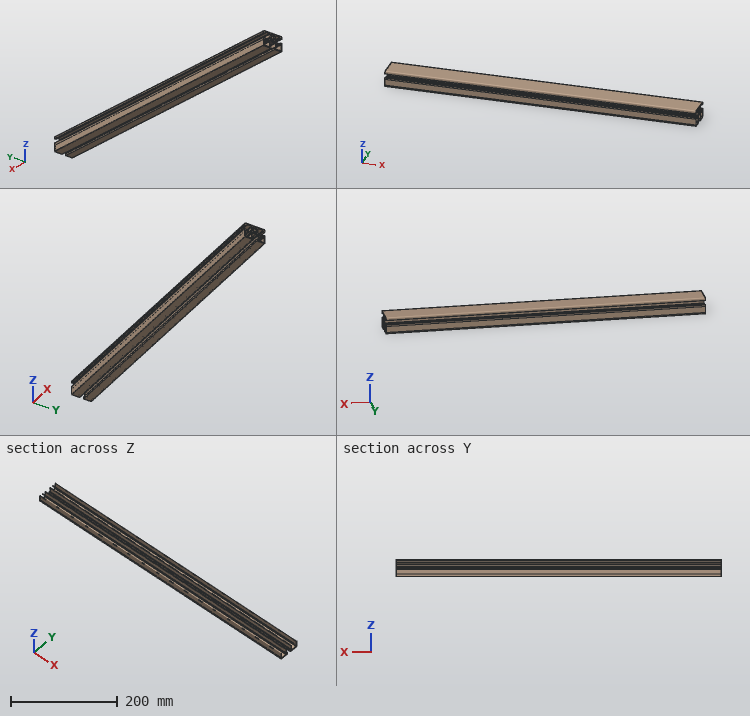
import cadquery as cq

LENGTH = 609.6
WIDTH = 45.0
HEIGHT = 32.0
HALF_WIDTH = WIDTH / 2
CORNER_RADIUS = 2.5

SLOT_CENTRE_Z = 22.5
SLOT_OPENING = 8.6
SLOT_CORNER_CHAMFER = 1.2
TOP_PLATE = 2.5
SHELF_TOP_Z = 15.8
CORE_HALF_WIDTH = 7.0
SIDE_LIP_DEPTH = 4.6
LIP_CHAMFER = 0.7
BOTTOM_SLOT_HALF_WIDTH = 6.5
BOTTOM_SLOT_TOP_Z = 14.8
BOTTOM_LIP = 4.5

CHAMBER_INNER_Y = 8.0
CHAMBER_OUTER_Y = 20.5
CHAMBER_FLOOR_Z = 2.2
CHAMBER_TOP_Z = 15
CHAMBER_CHAMFER = 0.5
RIB_WIDTH = 1.5
RIB_HEIGHT = 1.2

BORE_DIAMETER = 6.8
SLIT_LENGTH = 11.0
SLIT_HEIGHT = 2.0
BORE_WALL = 0.8
CORE_CHAMBER_WIDTH = 9.0
CORE_CHAMBER_CHAMFER = 1.5
LOWER_CORE_CHAMBER_BOTTOM_Z = 16.3


def block(y_min, y_max, z_min, z_max):
    """Full-length rectangular prism."""
    outline = cq.Workplane("YZ", origin=(-LENGTH / 2, (y_min + y_max) / 2, (z_min + z_max) / 2))
    return outline.rect(y_max - y_min, z_max - z_min).extrude(LENGTH)


def centred_block(width, z_min, z_max):
    """Full-length rectangular prism that is symmetric about Y = 0."""
    return block(-width / 2, width / 2, z_min, z_max)


def both_sides(shape):
    """The shape together with its mirror image across Y = 0."""
    return shape.union(shape.mirror("XZ"))


def blank():
    return centred_block(WIDTH, 0, HEIGHT).edges("|X").fillet(CORNER_RADIUS)


def side_slots():
    lip_y = HALF_WIDTH - SIDE_LIP_DEPTH
    opening_bottom_z = SLOT_CENTRE_Z - SLOT_OPENING / 2
    opening = block(CORE_HALF_WIDTH, HALF_WIDTH, opening_bottom_z, opening_bottom_z + SLOT_OPENING)
    pocket = block(CORE_HALF_WIDTH, lip_y, SHELF_TOP_Z, HEIGHT - TOP_PLATE)
    pocket = pocket.edges("|X and <Y").chamfer(SLOT_CORNER_CHAMFER)
    slot = pocket.union(opening)
    lip_edges = cq.selectors.BoxSelector(
        (-LENGTH, lip_y - LIP_CHAMFER / 2, opening_bottom_z - LIP_CHAMFER / 2),
        (LENGTH, lip_y + LIP_CHAMFER / 2, opening_bottom_z + SLOT_OPENING + LIP_CHAMFER / 2),
    )
    return both_sides(slot.edges("|X").edges(lip_edges).chamfer(LIP_CHAMFER))


def bottom_slot():
    opening = centred_block(SLOT_OPENING, 0, BOTTOM_LIP)
    pocket = centred_block(2 * BOTTOM_SLOT_HALF_WIDTH, BOTTOM_LIP, BOTTOM_SLOT_TOP_Z)
    pocket = pocket.edges("|X and >Z").chamfer(SLOT_CORNER_CHAMFER)
    return opening.union(pocket)


def side_chambers():
    chamber = block(CHAMBER_INNER_Y, CHAMBER_OUTER_Y, CHAMBER_FLOOR_Z, CHAMBER_TOP_Z)
    chamber = chamber.edges("|X").chamfer(CHAMBER_CHAMFER)
    rib_y = (CHAMBER_INNER_Y + CHAMBER_OUTER_Y) / 2
    rib = block(rib_y - RIB_WIDTH / 2, rib_y + RIB_WIDTH / 2, CHAMBER_TOP_Z - RIB_HEIGHT, CHAMBER_TOP_Z)
    return both_sides(chamber.cut(rib))


def bore():
    hole = cq.Workplane("YZ", origin=(-LENGTH / 2, 0, SLOT_CENTRE_Z))
    hole = hole.circle(BORE_DIAMETER / 2).extrude(LENGTH)
    slit = centred_block(SLIT_LENGTH, SLOT_CENTRE_Z - SLIT_HEIGHT / 2, SLOT_CENTRE_Z + SLIT_HEIGHT / 2)
    return hole.union(slit)


def core_chambers():
    wall_offset = BORE_DIAMETER / 2 + BORE_WALL
    upper = centred_block(CORE_CHAMBER_WIDTH, SLOT_CENTRE_Z + wall_offset, HEIGHT - TOP_PLATE)
    lower = centred_block(CORE_CHAMBER_WIDTH, LOWER_CORE_CHAMBER_BOTTOM_Z, SLOT_CENTRE_Z - wall_offset)
    lower = lower.edges("|X and <Z").chamfer(CORE_CHAMBER_CHAMFER)
    return upper.union(lower)


result = blank()
for cutter in (side_slots(), bottom_slot(), side_chambers(), bore(), core_chambers()):
    result = result.cut(cutter)